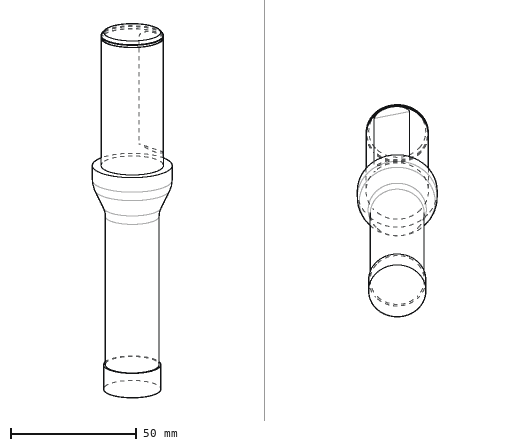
import cadquery as cq
import math

total_length = 153.0

head_radius = 23.0 / 2
point_height = 3.4
head_top = 13.6

neck_radius = 21.5 / 2
neck_top = 75.9
flange_radius = 32.0 / 2
flange_top = 97.2
flare_angle = math.radians(25)
blend_radius = 9.0

shank_radius = 25.0 / 2
end_chamfer_width = 1.0
end_chamfer_height = 1.2
groove_top = 151.5
groove_bottom = 150.5
groove_depth = 0.3

flat_depth = 2.3
flat_top = 150.0
flat_bottom = 100.0
flat_blend_radius = 5.2 / 2


def revolve_about_axis(profile):
    return profile.revolve(360, (0, 0, 0), (0, 1, 0))


def make_drill_head():
    """Short cylinder with a conical point."""
    profile = (
        cq.Workplane("XZ")
        .moveTo(0, 0)
        .lineTo(head_radius, point_height)
        .lineTo(head_radius, head_top)
        .lineTo(0, head_top)
        .close()
    )
    return revolve_about_axis(profile)


def make_turned_holder():
    """Neck, flared flange and shank as one turned shape."""
    blend_width = blend_radius * (1 - math.cos(flare_angle))
    blend_height = blend_radius * math.sin(flare_angle)
    cone_bottom_radius = neck_radius + blend_width
    cone_top_radius = flange_radius - blend_width
    cone_bottom = neck_top + blend_height
    cone_top = cone_bottom + (cone_top_radius - cone_bottom_radius) / math.tan(flare_angle)
    flange_bottom = cone_top + blend_height

    profile = (
        cq.Workplane("XZ")
        .moveTo(0, head_top)
        .lineTo(neck_radius, head_top)
        .lineTo(neck_radius, neck_top)
        .tangentArcPoint((cone_bottom_radius, cone_bottom), relative=False)
        .lineTo(cone_top_radius, cone_top)
        .tangentArcPoint((flange_radius, flange_bottom), relative=False)
        .lineTo(flange_radius, flange_top)
        .lineTo(shank_radius, flange_top)
        .lineTo(shank_radius, groove_bottom)
        .lineTo(shank_radius - groove_depth, groove_bottom)
        .lineTo(shank_radius - groove_depth, groove_top)
        .lineTo(shank_radius, groove_top)
        .lineTo(shank_radius, total_length - end_chamfer_height)
        .lineTo(shank_radius - end_chamfer_width, total_length)
        .lineTo(0, total_length)
        .close()
    )
    return revolve_about_axis(profile)


def make_flat_cutter():
    """Clamping flat with a 45 degree lower run-out and a rounded upper one."""
    flat_y = shank_radius - flat_depth
    arc_center_y = flat_y + flat_blend_radius
    arc_rise = math.sqrt(flat_blend_radius**2 - (arc_center_y - shank_radius) ** 2)
    arc_center_z = flat_top - arc_rise
    arc_middle_angle = (math.pi + math.acos((shank_radius - arc_center_y) / flat_blend_radius)) / 2
    arc_middle = (
        arc_center_y + flat_blend_radius * math.cos(arc_middle_angle),
        arc_center_z + flat_blend_radius * math.sin(arc_middle_angle),
    )
    return (
        cq.Workplane("YZ")
        .moveTo(shank_radius, flat_bottom)
        .lineTo(flat_y, flat_bottom + flat_depth)
        .lineTo(flat_y, arc_center_z)
        .threePointArc(arc_middle, (shank_radius, flat_top))
        .close()
        .extrude(shank_radius, both=True)
    )


drill_head = make_drill_head()
holder = make_turned_holder().cut(make_flat_cutter())

result = cq.Compound.makeCompound([drill_head.val(), *holder.solids().vals()])